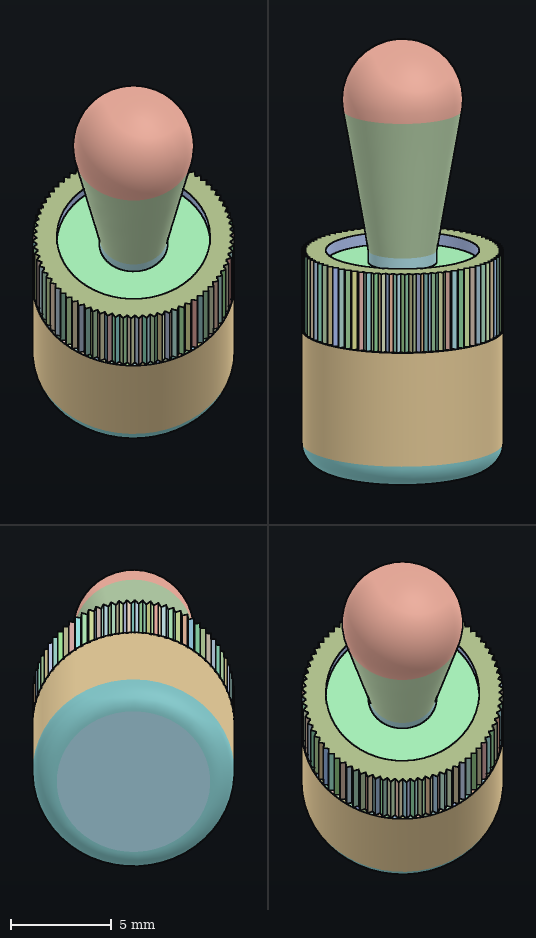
import cadquery as cq
import math

housing_radius = 5.0
housing_height = 11.0
bottom_fillet = 1.2
recess_radius = 3.8
recess_depth = 0.6
recess_floor = housing_height - recess_depth

groove_count = 80
groove_depth = 0.2
knurl_length = 4.0
knurl_bottom = housing_height - knurl_length

overall_height = 21.7
ball_radius = 3.0
ball_center = overall_height - ball_radius
foot_radius = 1.7
foot_top = housing_height


def make_knurled_band():
    """Upper band of the housing: a prism of sharp teeth whose crests lie on the housing radius."""
    valley_radius = housing_radius - groove_depth
    half_pitch = math.pi / groove_count
    outline = []
    for i in range(groove_count):
        valley_angle = 2 * i * half_pitch
        crest_angle = valley_angle + half_pitch
        outline.append((valley_radius * math.cos(valley_angle), valley_radius * math.sin(valley_angle)))
        outline.append((housing_radius * math.cos(crest_angle), housing_radius * math.sin(crest_angle)))
    return cq.Workplane("XY").workplane(offset=knurl_bottom).polyline(outline).close().extrude(knurl_length)


def make_housing():
    """Round cup with a filleted bottom, a shallow top recess and a knurled upper band."""
    lower_part = cq.Workplane("XY").circle(housing_radius).extrude(knurl_bottom)
    lower_part = lower_part.faces("<Z").edges().fillet(bottom_fillet)
    recess = cq.Workplane("XY").workplane(offset=recess_floor).circle(recess_radius).extrude(recess_depth)
    return lower_part.union(make_knurled_band()).cut(recess)


def make_pin():
    """Revolved pin that stands on the recess floor; its taper runs tangent into the ball."""
    foot_drop = ball_center - foot_top
    foot_distance = math.hypot(foot_radius, foot_drop)
    tangent_angle = math.atan2(foot_drop, foot_radius) - math.acos(ball_radius / foot_distance)
    tangent_point = (
        ball_radius * math.cos(tangent_angle),
        ball_center - ball_radius * math.sin(tangent_angle),
    )
    return (
        cq.Workplane("XZ")
        .moveTo(0, recess_floor)
        .lineTo(foot_radius, recess_floor)
        .lineTo(foot_radius, foot_top)
        .lineTo(*tangent_point)
        .threePointArc((ball_radius, ball_center), (0, overall_height))
        .close()
        .revolve(360, (0, 0, 0), (0, 1, 0))
    )


housing = make_housing()
pin = make_pin()

result = cq.Compound.makeCompound([housing.val(), pin.val()])